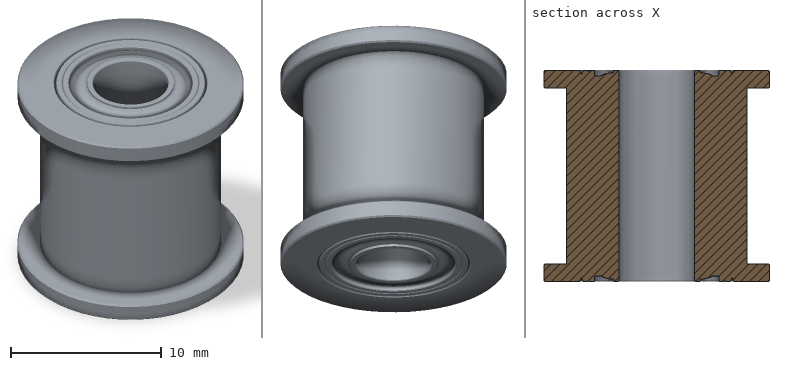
import cadquery as cq
import math

length = 14.0
flange_radius = 7.5
barrel_radius = 6.0
flange_width = 1.2
flange_chamfer = 0.1

joint_radius = 5.0
joint_half_width = 0.1
joint_depth = 0.25

fine_groove_radius = 4.52
fine_groove_half_width = 0.06
fine_groove_depth = 0.06

recess_radius = 4.1
recess_chamfer = 0.05
recess_depth = 0.36

shoulder_outer_radius = 3.73
shoulder_drop = 0.15
lip_radius = 2.87

bore_radius = 2.5
bore_chamfer = 0.05

half_length = length / 2


def v_groove(radius, half_width, depth):
    """Points of a V groove in the end face, from its outer edge inwards."""
    return [
        (radius + half_width, half_length),
        (radius, half_length - depth),
        (radius - half_width, half_length),
    ]


def outside_points():
    """Flange and barrel, from the bottom of the upper flange to the end face."""
    flange_bottom = half_length - flange_width
    rim_inset = flange_radius - flange_chamfer
    return [
        (barrel_radius, flange_bottom),
        (rim_inset, flange_bottom),
        (flange_radius, flange_bottom + flange_chamfer),
        (flange_radius, half_length - flange_chamfer),
        (rim_inset, half_length),
    ]


def recess_points():
    """Outer wall and floor of the recess, ending at the foot of the shoulder."""
    floor = half_length - recess_depth
    return [
        (recess_radius + recess_chamfer, half_length),
        (recess_radius, half_length - recess_chamfer),
        (recess_radius, floor + recess_chamfer),
        (recess_radius - recess_chamfer, floor),
        (shoulder_outer_radius, floor),
    ]


def shoulder_arc_points():
    """Middle and end of the shoulder arc, which meets the lip horizontally."""
    run = shoulder_outer_radius - lip_radius
    fall = recess_depth - shoulder_drop
    arc_radius = (run**2 + fall**2) / (2 * fall)
    mid_angle = math.asin(run / arc_radius) / 2
    top = half_length - shoulder_drop
    middle = (
        lip_radius + arc_radius * math.sin(mid_angle),
        top - arc_radius * (1 - math.cos(mid_angle)),
    )
    return middle, (lip_radius, top)


def lip_points():
    """Lip and chamfered mouth of the bore."""
    return [
        (lip_radius, half_length),
        (bore_radius + bore_chamfer, half_length),
        (bore_radius, half_length - bore_chamfer),
    ]


def mirrored(points):
    """The same points at the lower end of the roller, in reverse order."""
    return [(radius, -height) for radius, height in reversed(points)]


face_points = (
    outside_points()
    + v_groove(joint_radius, joint_half_width, joint_depth)
    + v_groove(fine_groove_radius, fine_groove_half_width, fine_groove_depth)
    + recess_points()
)
shoulder_middle, shoulder_top = shoulder_arc_points()
upper_shoulder_foot = face_points[-1]
lower_face_points = mirrored(face_points)
lower_shoulder_arc = mirrored([upper_shoulder_foot, shoulder_middle, shoulder_top])

section = (
    cq.Workplane("XZ")
    .polyline(lower_face_points + face_points)
    .threePointArc(shoulder_middle, shoulder_top)
    .polyline(lip_points() + mirrored(lip_points()), includeCurrent=True)
    .lineTo(*lower_shoulder_arc[0])
    .threePointArc(lower_shoulder_arc[1], lower_shoulder_arc[2])
    .close()
)

result = section.revolve(360, (0, 0, 0), (0, 1, 0))